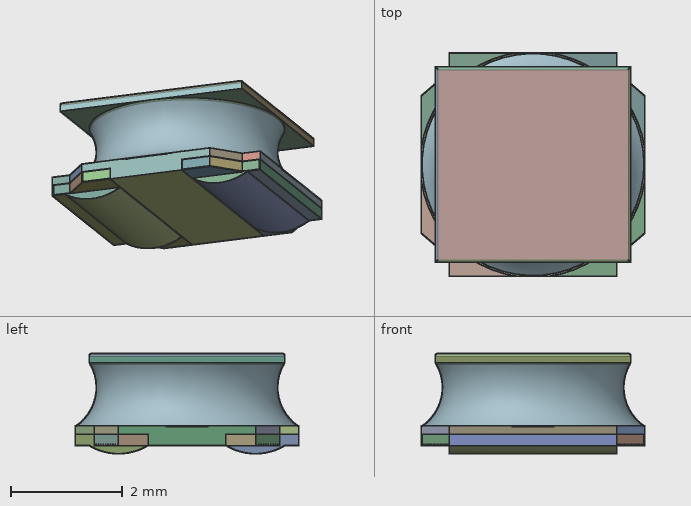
import cadquery as cq

base_size = 4.0
base_bottom = 0.15
base_top = 0.50
notch_width_x = 0.50
notch_inner_y = 1.66
notch_outer_y = 1.23

plate_size = 3.5
plate_bottom = 1.635
plate_top = 1.80
plate_edge_radius = 0.05

waist_radius = 1.625
waist_height = 1.18
upper_rim_bevel = 0.03
foot_radius = 1.985
seat_radius = 2.02
seat_depth = 0.01

electrode_top = 0.35
electrode_thickness = 0.02
electrode_inner_y = 0.69
pad_center_y = 1.225
pad_half_width = 0.53

base_half = base_size / 2
plate_half = plate_size / 2
notch_x = base_half - notch_width_x
pad_length = 2 * notch_x


def base_outline():
    """Outline of the base, drawn on the XY plane at the base's underside."""
    return (
        cq.Workplane("XY", origin=(0, 0, base_bottom))
        .moveTo(notch_x, -base_half)
        .lineTo(notch_x, -notch_inner_y)
        .lineTo(base_half, -notch_outer_y)
        .lineTo(base_half, notch_outer_y)
        .lineTo(notch_x, notch_inner_y)
        .lineTo(notch_x, base_half)
        .lineTo(-notch_x, base_half)
        .lineTo(-notch_x, notch_inner_y)
        .lineTo(-base_half, notch_outer_y)
        .lineTo(-base_half, -notch_outer_y)
        .lineTo(-notch_x, -notch_inner_y)
        .lineTo(-notch_x, -base_half)
        .close()
    )


def make_solder_pad():
    """Bar along X with a flat top against the cap and a circular-arc underside."""
    return (
        cq.Workplane("YZ", origin=(-pad_length / 2, 0, 0))
        .moveTo(pad_center_y - pad_half_width, base_bottom)
        .threePointArc((pad_center_y, 0), (pad_center_y + pad_half_width, base_bottom))
        .close()
        .extrude(pad_length)
    )


def make_electrode(turn):
    """Cap and solder pad at the +Y end, turned about Z to the chosen end."""
    height = electrode_top - base_bottom
    core = (
        base_outline()
        .offset2D(-electrode_thickness, "intersection")
        .extrude(height)
        .translate((0, 0, electrode_thickness))
    )
    end_zone = cq.Workplane("XY", origin=(0, electrode_inner_y, base_bottom)).box(
        base_size, base_half - electrode_inner_y, height, centered=(True, False, False)
    )
    cap = base_outline().extrude(height).cut(core).intersect(end_zone)
    electrode = cap.union(make_solder_pad())
    return electrode.rotate((0, 0, 0), (0, 0, 1), turn)


def make_winding_body():
    """Concave body of revolution on a thin disc that is trimmed to the base outline."""
    spool = (
        cq.Workplane("XZ")
        .moveTo(0, base_top - seat_depth)
        .lineTo(seat_radius, base_top - seat_depth)
        .lineTo(seat_radius, base_top)
        .lineTo(foot_radius, base_top)
        .threePointArc(
            (waist_radius, waist_height),
            (plate_half - upper_rim_bevel / 2, plate_bottom - upper_rim_bevel),
        )
        .lineTo(plate_half, plate_bottom)
        .lineTo(0, plate_bottom)
        .close()
        .revolve(360, (0, 0, 0), (0, 1, 0))
    )
    return spool.intersect(base_outline().extrude(plate_bottom - base_bottom))


def make_base(winding_body, electrodes):
    """Base slab with a flush seat for the winding body and recesses for the electrodes."""
    base = base_outline().extrude(base_top - base_bottom).cut(winding_body)
    for electrode in electrodes:
        base = base.cut(electrode)
    return base


def make_top_plate():
    """Square plate with its upper edges rounded."""
    return (
        cq.Workplane("XY", origin=(0, 0, plate_bottom))
        .box(plate_size, plate_size, plate_top - plate_bottom, centered=(True, True, False))
        .faces(">Z")
        .edges()
        .fillet(plate_edge_radius)
    )


electrodes = [make_electrode(turn) for turn in (0, 180)]
winding_body = make_winding_body()
base = make_base(winding_body, electrodes)
top_plate = make_top_plate()

result = cq.Compound.makeCompound(
    [base.val(), winding_body.val(), top_plate.val()]
    + [solid for electrode in electrodes for solid in electrode.vals()]
)